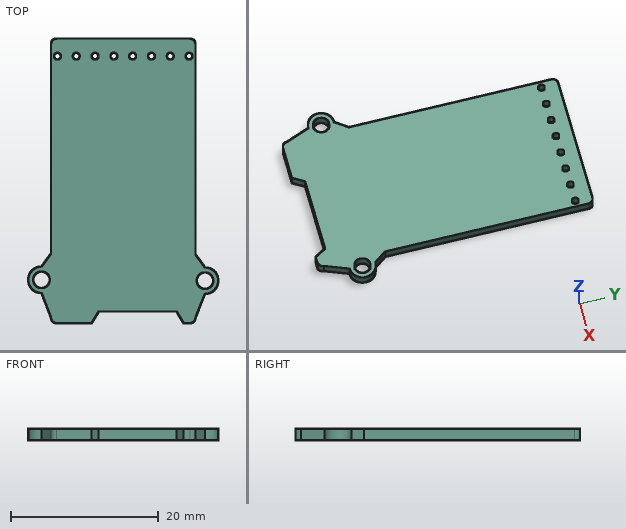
import cadquery as cq
import math

length = 38.6
thickness = 1.6
half_width = 9.8
corner_radius = 0.77

lug_x = 11.08
lug_radius = 1.8
mount_hole_diameter = 2.2
left_lug_y = 5.9
right_lug_y = 5.8
shoulder_above_lug = 3.55

notch_left = -3.32
notch_right = 7.2
notch_depth = 1.6
notch_flare = 0.95

pin_count = 8
pin_pitch = 2.55
pin_hole_diameter = 0.9
pin_inset = 2.4


def board_blank():
    """Extruded outline, drawn counter-clockwise from the bottom left corner.

    The bottom corners are quarter arcs; the slopes to the lugs start where the arcs end.
    """
    arc_centre_x = half_width - corner_radius
    arc_mid_x = arc_centre_x + corner_radius * math.sqrt(0.5)
    arc_mid_y = corner_radius * (1 - math.sqrt(0.5))
    outline = (
        cq.Workplane("XY")
        .moveTo(-arc_centre_x, 0)
        .lineTo(notch_left - notch_flare, 0)
        .lineTo(notch_left, notch_depth)
        .lineTo(notch_right, notch_depth)
        .lineTo(notch_right + notch_flare, 0)
        .lineTo(arc_centre_x, 0)
        .threePointArc((arc_mid_x, arc_mid_y), (half_width, corner_radius))
        .lineTo(lug_x, right_lug_y - lug_radius)
        .threePointArc((lug_x + lug_radius, right_lug_y), (lug_x, right_lug_y + lug_radius))
        .lineTo(half_width, right_lug_y + shoulder_above_lug)
        .lineTo(half_width, length)
        .lineTo(-half_width, length)
        .lineTo(-half_width, left_lug_y + shoulder_above_lug)
        .lineTo(-lug_x, left_lug_y + lug_radius)
        .threePointArc((-lug_x - lug_radius, left_lug_y), (-lug_x, left_lug_y - lug_radius))
        .lineTo(-half_width, corner_radius)
        .threePointArc((-arc_mid_x, arc_mid_y), (-arc_centre_x, 0))
        .close()
    )
    return outline.extrude(thickness)


def round_top_corners(board):
    return board.faces(">Y").edges("|Z").fillet(corner_radius)


def through_holes(points, diameter):
    return cq.Workplane("XY").pushPoints(points).circle(diameter / 2).extrude(thickness)


mount_points = [(-lug_x, left_lug_y), (lug_x, right_lug_y)]
pin_points = [
    ((i - (pin_count - 1) / 2) * pin_pitch, length - pin_inset)
    for i in range(pin_count)
]

result = round_top_corners(board_blank())
result = result.cut(through_holes(mount_points, mount_hole_diameter))
result = result.cut(through_holes(pin_points, pin_hole_diameter))